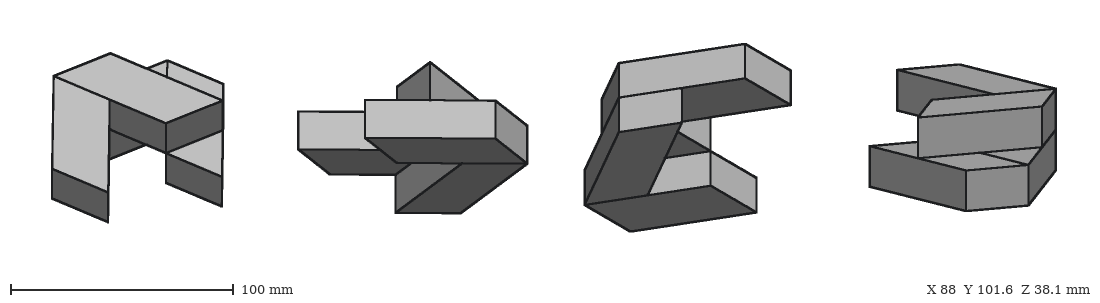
import cadquery as cq
import math

overall_depth = 101.6
overall_height = 38.1

layer_height = overall_height / 2
long_side = overall_depth / 2 / math.sin(math.radians(60))
short_side = long_side / 2


def offset(point, length, angle):
    """Point reached by going a length from a point, at an angle in degrees from +X."""
    direction = math.radians(angle)
    return (point[0] + length * math.cos(direction), point[1] + length * math.sin(direction))


def parallelogram_block(corner, base_z, long_angle, short_angle):
    """Block whose long and short sides leave one corner at the given angles."""
    long_end = offset(corner, long_side, long_angle)
    short_end = offset(corner, short_side, short_angle)
    far_corner = offset(long_end, short_side, short_angle)
    return (
        cq.Workplane("XY")
        .workplane(offset=base_z)
        .polyline([corner, long_end, far_corner, short_end])
        .close()
        .extrude(layer_height)
    )


left_corner = (0.0, 0.0)
right_corner = offset(left_corner, long_side, 0)

block_placements = [
    (left_corner, 0.0, 60, -60),
    (right_corner, 0.0, 120, 0),
    (left_corner, layer_height, 0, 60),
    (left_corner, layer_height, -60, 0),
]

blocks = [parallelogram_block(*placement) for placement in block_placements]

result = cq.Compound.makeCompound([block.val() for block in blocks])